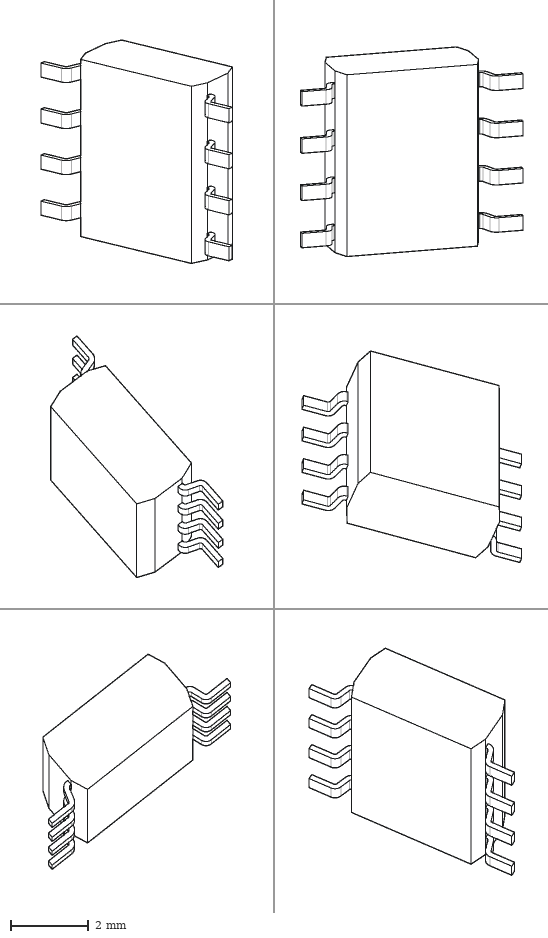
import cadquery as cq
import math

span = 6.0
overall_height = 1.88
seating_y = 0.0

body_width = 3.9
body_length = 4.89
standoff = 0.0475
bevel_width = 0.18
bevel_height = 0.465

leads_per_side = 4
lead_pitch = 1.27
lead_width = 0.39
lead_thickness = 0.15
lead_top = 0.645
foot_flat = 0.65
inner_radius = 0.07
bend_angle = 72.0


def make_body():
    """Constant section along Z with all four long edges bevelled."""
    half_width = body_width / 2
    half_face = half_width - bevel_width
    bottom = seating_y + standoff
    top = seating_y + overall_height
    outline = [
        (-half_face, bottom),
        (half_face, bottom),
        (half_width, bottom + bevel_height),
        (half_width, top - bevel_height),
        (half_face, top),
        (-half_face, top),
        (-half_width, top - bevel_height),
        (-half_width, bottom + bevel_height),
    ]
    return cq.Workplane("XY").polyline(outline).close().extrude(body_length / 2, both=True)


def arc_point(center, radius, degrees):
    angle = math.radians(degrees)
    return (center[0] + radius * math.cos(angle), center[1] + radius * math.sin(angle))


def make_left_lead(z_center):
    """Flat strip bent up at the foot and back to horizontal where it meets the body."""
    tip_x = -span / 2
    body_x = -body_width / 2
    foot_top = seating_y + lead_thickness
    shoulder_bottom = lead_top - lead_thickness
    outer_radius = inner_radius + lead_thickness

    angle = math.radians(bend_angle)
    foot_center = (tip_x + foot_flat, seating_y + outer_radius)
    rise = shoulder_bottom - seating_y
    radius_sum = inner_radius + outer_radius
    leg_length = (rise - radius_sum * (1 - math.cos(angle))) / math.sin(angle)
    bend_run = radius_sum * math.sin(angle) + leg_length * math.cos(angle)
    shoulder_center = (foot_center[0] + bend_run, lead_top - outer_radius)

    foot_start = -90
    foot_middle = foot_start + bend_angle / 2
    foot_end = foot_start + bend_angle
    shoulder_end = 90
    shoulder_middle = shoulder_end + bend_angle / 2
    shoulder_start = shoulder_end + bend_angle

    section = (
        cq.Workplane("XY")
        .workplane(offset=z_center)
        .moveTo(tip_x, seating_y)
        .lineTo(foot_center[0], seating_y)
        .threePointArc(
            arc_point(foot_center, outer_radius, foot_middle),
            arc_point(foot_center, outer_radius, foot_end),
        )
        .lineTo(*arc_point(shoulder_center, inner_radius, shoulder_start))
        .threePointArc(
            arc_point(shoulder_center, inner_radius, shoulder_middle),
            arc_point(shoulder_center, inner_radius, shoulder_end),
        )
        .lineTo(body_x, shoulder_bottom)
        .lineTo(body_x, lead_top)
        .lineTo(shoulder_center[0], lead_top)
        .threePointArc(
            arc_point(shoulder_center, outer_radius, shoulder_middle),
            arc_point(shoulder_center, outer_radius, shoulder_start),
        )
        .lineTo(*arc_point(foot_center, inner_radius, foot_end))
        .threePointArc(
            arc_point(foot_center, inner_radius, foot_middle),
            arc_point(foot_center, inner_radius, foot_start),
        )
        .lineTo(tip_x, foot_top)
        .close()
    )
    return section.extrude(lead_width / 2, both=True)


body = make_body()

leads = []
for index in range(leads_per_side):
    z_center = (index - (leads_per_side - 1) / 2) * lead_pitch
    left_lead = make_left_lead(z_center)
    right_lead = left_lead.mirror("YZ")
    leads.append(left_lead.val())
    leads.append(right_lead.val())

result = cq.Compound.makeCompound([body.val(), *leads])